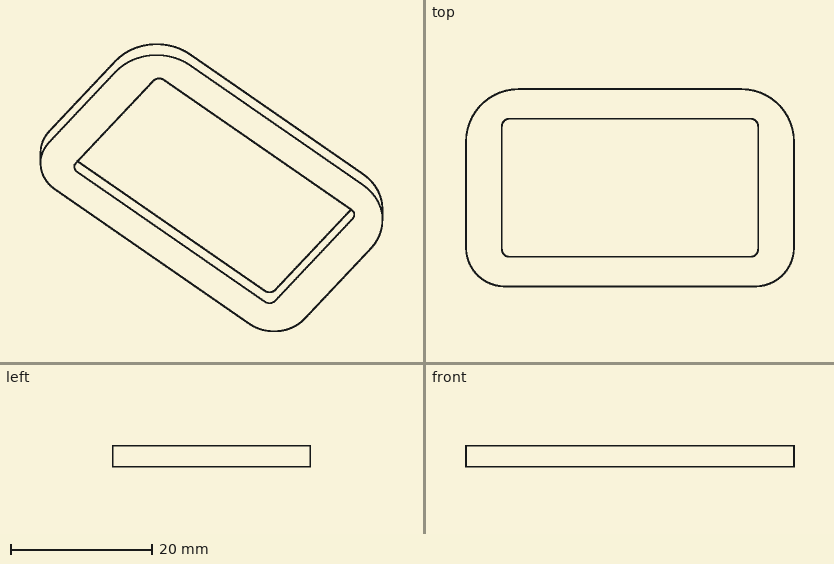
import cadquery as cq

length = 46.5
width = 28.0
thickness = 3.0
back_corner_radius = 7.5
front_corner_radius = 5.55

side_border = 5.1
end_border = 4.25
window_length = length - 2 * side_border
window_width = width - 2 * end_border
window_corner_diameter = 2.1


def make_plate():
    """Flat plate with larger corner rounds at the +Y edge than at the -Y edge."""
    plate = cq.Workplane("XY").box(length, width, thickness)
    plate = plate.edges("|Z and >Y").fillet(back_corner_radius)
    return plate.edges("|Z and <Y").fillet(front_corner_radius)


def make_window():
    """Through opening with small rounded corners."""
    window = cq.Workplane("XY").box(window_length, window_width, thickness)
    return window.edges("|Z").fillet(window_corner_diameter / 2)


result = make_plate().cut(make_window())